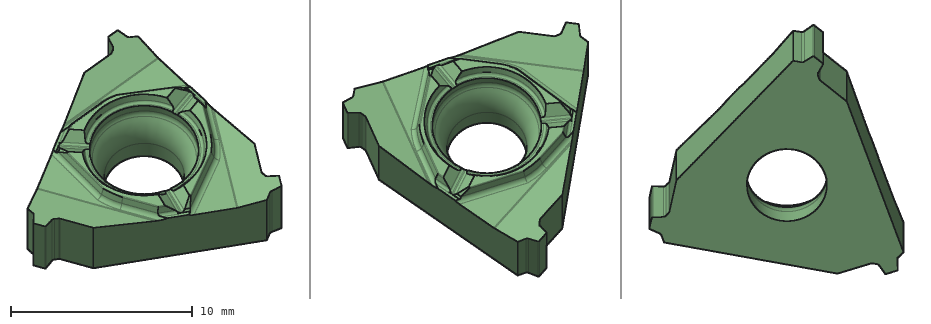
import cadquery as cq
import math

CORNERS = 3
CORNER_STEP = 360 / CORNERS
TOP_Z = 4.1
SMALLEST_LINE = 1e-6
REACH = 20.0

INSCRIBED_RADIUS = 9.525 / 2
LEADING_CORNER_Y = -5.94
SHOULDER_Y = -6.02
SHOULDER_ROUND = 0.15

TOOTH_TIP_Y = -6.896
TOOTH_CENTER_X = -3.75
TOOTH_MID_WIDTH = 0.91
TOOTH_MID_Y = -6.53
FLANK_ANGLE = 14.5
TOOTH_TIP_ROUND = 0.06
TOOTH_ROOT_ROUND = 0.2
ROOT_SLOPE_ANGLE = 30.0
RIGHT_ROOT_SLOPE_X = -2.89

FLOOR_Z = 3.5
RAKE_ANGLE = 10.0
RAKE_START_Y = -4.27
RAKE_ROUND = 0.35

MAIN_WALL_DISTANCE = 3.71
SIDE_WALL_DISTANCE = 3.61
SIDE_WALL_TURN = 32.0
TIP_WALL_INSET = 0.515
TIP_WALL_DISTANCE = INSCRIBED_RADIUS - TIP_WALL_INSET
TIP_WALL_TURN = 90.0
WALL_LEAN = 22.0
WALL_FOOT_ROUND = 0.33
TIP_LEDGE_Z = 3.59
TIP_WALL_FOOT_ROUND = 0.2
WALL_TOP_ROUND = 0.06

GROOVE_TURN = 75.5
GROOVE_TOP_WIDTH = 1.52
GROOVE_BOTTOM_WIDTH = 0.25
GROOVE_ROUND = 0.25

FACET_DISTANCE = 3.83
FACET_LEAN = 55.0

HOLE_RADIUS = 4.4 / 2
RIM_RADIUS = 3.44
LEDGE_OUTER_RADIUS = 3.24
LEDGE_Z = 3.64
LEDGE_FOOT_ROUND = 0.2
SEAT_RADIUS = 3.0
SEAT_WALL_END_Z = 2.98
FUNNEL_ANGLE = 45.0
FUNNEL_TOP_ROUND = 0.45


def tan(degrees):
    return math.tan(math.radians(degrees))


def rounded_profile(plane, corners):
    """Closed wire through (u, v, radius) corners, each rounded by its radius."""
    stretches = []
    for index, (u, v, radius) in enumerate(corners):
        corner = cq.Vector(u, v)
        if radius == 0:
            stretches.append((corner,))
            continue
        before = cq.Vector(*corners[index - 1][:2])
        after = cq.Vector(*corners[(index + 1) % len(corners)][:2])
        to_before = (before - corner).normalized()
        to_after = (after - corner).normalized()
        half_angle = to_before.getAngle(to_after) / 2
        tangent_length = radius / math.tan(half_angle)
        bisector = (to_before + to_after).normalized()
        middle_distance = radius / math.sin(half_angle) - radius
        stretches.append((
            corner + to_before * tangent_length,
            corner + bisector * middle_distance,
            corner + to_after * tangent_length,
        ))

    end = stretches[0][-1]
    wire = cq.Workplane(plane).moveTo(end.x, end.y)
    for stretch in stretches[1:] + stretches[:1]:
        start = stretch[0]
        if (start - end).Length > SMALLEST_LINE:
            wire = wire.lineTo(start.x, start.y)
        end = stretch[-1]
        if len(stretch) > 1:
            middle = stretch[1]
            wire = wire.threePointArc((middle.x, middle.y), (end.x, end.y))
    return wire.close()


def around_axis(shape, degrees):
    return shape.rotate((0, 0, 0), (0, 0, 1), degrees)


def corner_outline():
    """Outline of one corner, from the -X side round the tooth to the next side."""
    flank_slope = tan(FLANK_ANGLE)
    root_slope = tan(ROOT_SLOPE_ANGLE)

    def flank_x(side, y):
        half_width = TOOTH_MID_WIDTH / 2 + (y - TOOTH_MID_Y) * flank_slope
        return TOOTH_CENTER_X + side * half_width

    def root_corner(side, slope_start_x, slope_start_y):
        """Point where a flank meets the slope that falls towards the tooth."""
        gap = abs(flank_x(side, slope_start_y) - slope_start_x)
        drop = gap * root_slope / (1 - root_slope * flank_slope)
        y = slope_start_y - drop
        return flank_x(side, y), y

    left_root = root_corner(-1, -INSCRIBED_RADIUS, LEADING_CORNER_Y)
    right_root = root_corner(1, RIGHT_ROOT_SLOPE_X, SHOULDER_Y)
    half_step = math.radians(CORNER_STEP / 2)
    shoulder_end_x = (INSCRIBED_RADIUS + SHOULDER_Y * math.sin(half_step)) / math.cos(half_step)
    return [
        (-INSCRIBED_RADIUS, LEADING_CORNER_Y, 0),
        (*left_root, TOOTH_ROOT_ROUND),
        (flank_x(-1, TOOTH_TIP_Y), TOOTH_TIP_Y, TOOTH_TIP_ROUND),
        (flank_x(1, TOOTH_TIP_Y), TOOTH_TIP_Y, TOOTH_TIP_ROUND),
        (*right_root, TOOTH_ROOT_ROUND),
        (RIGHT_ROOT_SLOPE_X, SHOULDER_Y, SHOULDER_ROUND),
        (shoulder_end_x, SHOULDER_Y, 0),
    ]


def outline_prism():
    corners = []
    for index in range(CORNERS):
        turn = math.radians(index * CORNER_STEP)
        for x, y, radius in corner_outline():
            corners.append((
                x * math.cos(turn) - y * math.sin(turn),
                x * math.sin(turn) + y * math.cos(turn),
                radius,
            ))
    return rounded_profile("XY", corners).extrude(TOP_Z)


def rake_stock():
    """Everything under the floor and the rising rake face of the corner at -Y."""
    rake_end_z = FLOOR_Z + (REACH + RAKE_START_Y) * tan(RAKE_ANGLE)
    profile = rounded_profile("YZ", [
        (0, 0, 0),
        (0, FLOOR_Z, 0),
        (RAKE_START_Y, FLOOR_Z, RAKE_ROUND),
        (-REACH, rake_end_z, 0),
        (-REACH, 0, 0),
    ])
    return profile.extrude(REACH, both=True)


def lower_body(prism):
    """Body up to the floor, plus the rising rake face at each corner."""
    floor_slab = cq.Workplane().rect(REACH, REACH).extrude(FLOOR_Z)
    body = prism.intersect(floor_slab)
    for index in range(CORNERS):
        rake = around_axis(rake_stock(), index * CORNER_STEP)
        body = body.union(prism.intersect(rake))
    return body


def wall_line(distance, floor_z, top_round, foot_round):
    """Corners of a leaning wall, top to foot, as (outward distance, z, radius)."""
    foot = distance + (TOP_Z - floor_z) * tan(WALL_LEAN)
    return [
        (distance, TOP_Z, top_round),
        (foot, floor_z, foot_round),
        (REACH, floor_z, 0),
    ]


def wall_stock(distance, turn, floor_z=FLOOR_Z, foot_round=WALL_FOOT_ROUND):
    """Everything behind a straight wall whose outward direction is turned from -Y."""
    corners = wall_line(distance, floor_z, WALL_TOP_ROUND, foot_round)
    corners += [(REACH, 0, 0), (-REACH, 0, 0), (-REACH, TOP_Z, 0)]
    toward_minus_y = [(-outward, z, radius) for outward, z, radius in corners]
    stock = rounded_profile("YZ", toward_minus_y).extrude(REACH, both=True)
    return around_axis(stock, -turn)


def curved_wall_clearance():
    """Stock outside the arc that joins the main wall to the side wall."""
    corners = wall_line(MAIN_WALL_DISTANCE, FLOOR_Z, 0, WALL_FOOT_ROUND)
    corners += [(REACH, TOP_Z, 0)]
    ring = rounded_profile("XZ", corners).revolve(SIDE_WALL_TURN, (0, 0), (0, 1))
    return around_axis(ring, -90 - SIDE_WALL_TURN)


def groove_clearance():
    """Flared groove running outward from the axis along -Y, then turned."""
    half_bottom = GROOVE_BOTTOM_WIDTH / 2
    half_top = GROOVE_TOP_WIDTH / 2
    profile = rounded_profile("XZ", [
        (-half_bottom, TIP_LEDGE_Z, GROOVE_ROUND),
        (half_bottom, TIP_LEDGE_Z, GROOVE_ROUND),
        (half_top, TOP_Z, 0),
        (-half_top, TOP_Z, 0),
    ])
    return around_axis(profile.extrude(REACH), -GROOVE_TURN)


def facet_clearance():
    """Stock over the facet, on the side-wall side of the groove at the tip wall."""
    groove_offset = FACET_DISTANCE * tan(TIP_WALL_TURN - GROOVE_TURN)
    facet_end = FACET_DISTANCE + (TOP_Z - TIP_LEDGE_Z) * tan(FACET_LEAN)
    profile = rounded_profile("YZ", [
        (-FACET_DISTANCE, TOP_Z, 0),
        (-facet_end, TIP_LEDGE_Z, 0),
        (-REACH, TIP_LEDGE_Z, 0),
        (-REACH, TOP_Z, 0),
    ])
    facet = profile.extrude(REACH).translate((groove_offset, 0, 0))
    return around_axis(facet, -TIP_WALL_TURN)


def boss(prism):
    raised = prism
    for index in range(CORNERS):
        turn = index * CORNER_STEP
        main_wall = wall_stock(MAIN_WALL_DISTANCE, turn)
        side_wall = wall_stock(SIDE_WALL_DISTANCE, turn + SIDE_WALL_TURN)
        tip_wall = wall_stock(TIP_WALL_DISTANCE, turn + TIP_WALL_TURN, TIP_LEDGE_Z, TIP_WALL_FOOT_ROUND)
        raised = raised.intersect(main_wall).intersect(side_wall).intersect(tip_wall)
    for clearance in (curved_wall_clearance(), groove_clearance(), facet_clearance()):
        for index in range(CORNERS):
            raised = raised.cut(around_axis(clearance, index * CORNER_STEP))
    return raised


def screw_hole():
    """Stepped rim, seat wall and a funnel that blends into the through hole."""
    funnel_drop = (SEAT_RADIUS - HOLE_RADIUS) / tan(FUNNEL_ANGLE)
    funnel_slant = math.hypot(funnel_drop, SEAT_RADIUS - HOLE_RADIUS)
    funnel_foot_round = funnel_slant / tan(FUNNEL_ANGLE / 2) - FUNNEL_TOP_ROUND
    profile = rounded_profile("XZ", [
        (0, 0, 0),
        (0, TOP_Z, 0),
        (RIM_RADIUS, TOP_Z, 0),
        (LEDGE_OUTER_RADIUS, LEDGE_Z, LEDGE_FOOT_ROUND),
        (SEAT_RADIUS, LEDGE_Z, 0),
        (SEAT_RADIUS, SEAT_WALL_END_Z, FUNNEL_TOP_ROUND),
        (HOLE_RADIUS, SEAT_WALL_END_Z - funnel_drop, funnel_foot_round),
        (HOLE_RADIUS, 0, 0),
    ])
    return profile.revolve(360, (0, 0), (0, 1))


prism = outline_prism()
result = lower_body(prism).union(boss(prism)).cut(screw_hole())